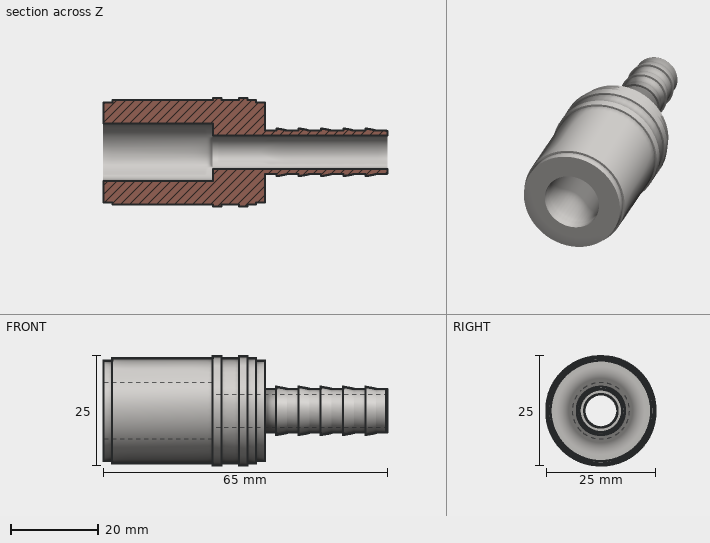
import cadquery as cq

total_length = 65.0

sleeve_length = 37.0
sleeve_radius = 12.0
collar_length = 2.0
collar_radius = 11.5

ring_diameter = 25.0
ring_radius = ring_diameter / 2
ring_width = 2.0
ring_starts = (25.0, 31.0)

tail_radius = 5.0
tail_chamfer_length = 0.3
tail_chamfer_depth = 0.1
barb_count = 5
barb_radius = 5.5
barb_length = (total_length - sleeve_length) / (2 * barb_count + 1)
barb_pitch = 2 * barb_length
first_barb_start = sleeve_length + barb_length
barb_bulge = 0.05

socket_radius = 6.5
socket_depth = ring_starts[0]
bore_radius = 3.8


def cylinder(start, length, radius):
    """Solid cylinder along +X, beginning at x = start."""
    return cq.Workplane("YZ", origin=(start, 0, 0)).circle(radius).extrude(length)


def make_sleeve():
    """Sleeve with a reduced collar at each end and two raised rings."""
    sleeve = cylinder(0, sleeve_length, collar_radius)
    barrel_length = sleeve_length - 2 * collar_length
    sleeve = sleeve.union(cylinder(collar_length, barrel_length, sleeve_radius))
    for ring_start in ring_starts:
        sleeve = sleeve.union(cylinder(ring_start, ring_width, ring_radius))
    return sleeve


def make_hose_tail():
    """Round tail with slightly bowed barbs that taper towards a chamfered tip."""
    chamfer_start = total_length - tail_chamfer_length
    tip_radius = tail_radius - tail_chamfer_depth
    profile = cq.Workplane("XY").moveTo(sleeve_length, 0).lineTo(sleeve_length, tail_radius)
    for index in range(barb_count):
        barb_start = first_barb_start + index * barb_pitch
        barb_end = barb_start + barb_length
        flank_middle = (barb_start + barb_length / 2, (barb_radius + tail_radius) / 2 + barb_bulge)
        profile = profile.lineTo(barb_start, tail_radius).lineTo(barb_start, barb_radius)
        profile = profile.threePointArc(flank_middle, (barb_end, tail_radius))
    profile = profile.lineTo(chamfer_start, tail_radius).lineTo(total_length, tip_radius)
    profile = profile.lineTo(total_length, 0).close()
    return profile.revolve(360, (0, 0, 0), (1, 0, 0))


socket = cylinder(0, socket_depth, socket_radius)
through_bore = cylinder(0, total_length, bore_radius)

result = make_sleeve().union(make_hose_tail()).cut(socket).cut(through_bore)